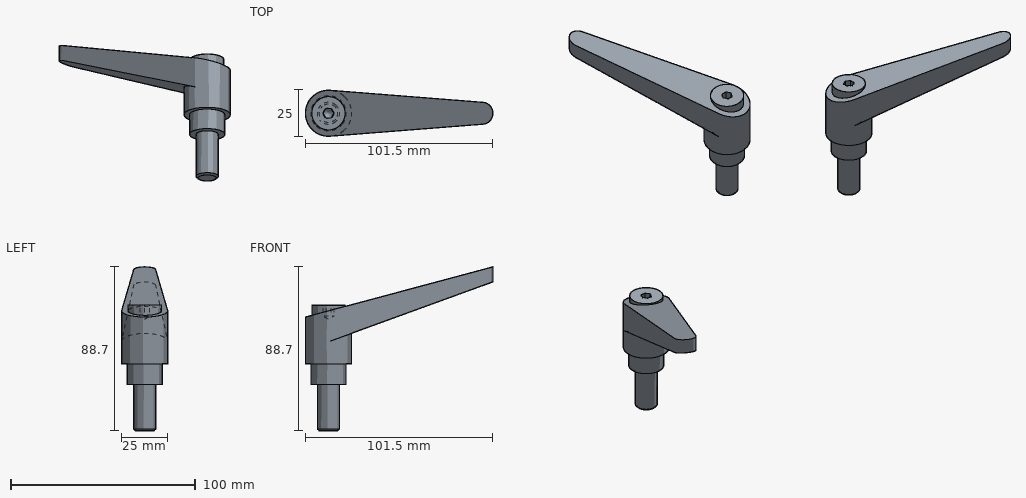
import cadquery as cq
import math


stud_diameter = 12.0
stud_length = 25.0
stud_chamfer = 1.0

collar_diameter = 19.1
collar_height = 11.2
hub_diameter = 25.0
hub_radius = hub_diameter / 2

overall_height = 88.73
tip_radius = 6.0
tip_center_x = 83.0
arm_end_x = tip_center_x + tip_radius
tip_thickness = 8.2
top_angle = 15.0
underside_angle = 20.0
tip_top_z = overall_height - stud_length
tip_bottom_z = tip_top_z - tip_thickness

cap_diameter = 18.0
cap_top_z = 43.0
socket_across_flats = 5.0
socket_across_corners = socket_across_flats / math.cos(math.radians(30))
socket_depth = 6.0
socket_tip_angle = 120.0


def cylinder(diameter, bottom_z, top_z):
    """Cylinder on the pivot axis between two heights."""
    return cq.Workplane("XY").workplane(offset=bottom_z).circle(diameter / 2).extrude(top_z - bottom_z)


def top_z_at(x):
    """Height of the sloping top face."""
    return tip_top_z - (arm_end_x - x) * math.tan(math.radians(top_angle))


def underside_z_at(x):
    """Height of the sloping underside of the arm."""
    return tip_bottom_z - (arm_end_x - x) * math.tan(math.radians(underside_angle))


def side_slab(points):
    """Closed XZ outline extruded across the full width of the hub."""
    return cq.Workplane("XZ").polyline(points).close().extrude(hub_radius, both=True)


def make_hub():
    """Round hub cut off by the sloping top plane."""
    profile = [
        (-hub_radius, collar_height),
        (hub_radius, collar_height),
        (hub_radius, top_z_at(hub_radius)),
        (-hub_radius, top_z_at(-hub_radius)),
    ]
    return cylinder(hub_diameter, collar_height, tip_top_z).intersect(side_slab(profile))


def make_arm():
    """Tapered arm whose straight sides are tangent to the hub and to the round tip."""
    tangent_cos = (hub_radius - tip_radius) / tip_center_x
    tangent_sin = math.sqrt(1 - tangent_cos**2)
    hub_x = hub_radius * tangent_cos
    hub_y = hub_radius * tangent_sin
    tip_x = tip_center_x + tip_radius * tangent_cos
    tip_y = tip_radius * tangent_sin
    plan = (
        cq.Workplane("XY")
        .moveTo(hub_x, -hub_y)
        .lineTo(tip_x, -tip_y)
        .threePointArc((arm_end_x, 0), (tip_x, tip_y))
        .lineTo(hub_x, hub_y)
        .close()
        .extrude(tip_top_z)
    )
    profile = [
        (hub_x, underside_z_at(hub_x)),
        (arm_end_x, tip_bottom_z),
        (arm_end_x, tip_top_z),
        (hub_x, top_z_at(hub_x)),
    ]
    return plan.intersect(side_slab(profile))


def make_stud():
    """Stud below the collar with a chamfered end."""
    return cylinder(stud_diameter, -stud_length, 0).faces("<Z").chamfer(stud_chamfer)


def make_socket():
    """Hexagon socket with a conical bottom, two corners lying on the X axis."""
    floor_z = cap_top_z - socket_depth
    corner_radius = socket_across_corners / 2
    cone_depth = corner_radius / math.tan(math.radians(socket_tip_angle / 2))
    hexagon = (
        cq.Workplane("XY")
        .workplane(offset=floor_z)
        .polygon(6, socket_across_corners)
        .extrude(socket_depth)
    )
    cone = (
        cq.Workplane("XZ")
        .moveTo(0, floor_z - cone_depth)
        .lineTo(corner_radius, floor_z)
        .lineTo(0, floor_z)
        .close()
        .revolve(360, (0, 0, 0), (0, 1, 0))
    )
    return hexagon.union(cone)


collar = cylinder(collar_diameter, 0, collar_height)
cap = cylinder(cap_diameter, collar_height, cap_top_z)

result = make_hub().union(make_arm()).union(collar).union(make_stud()).union(cap).cut(make_socket())